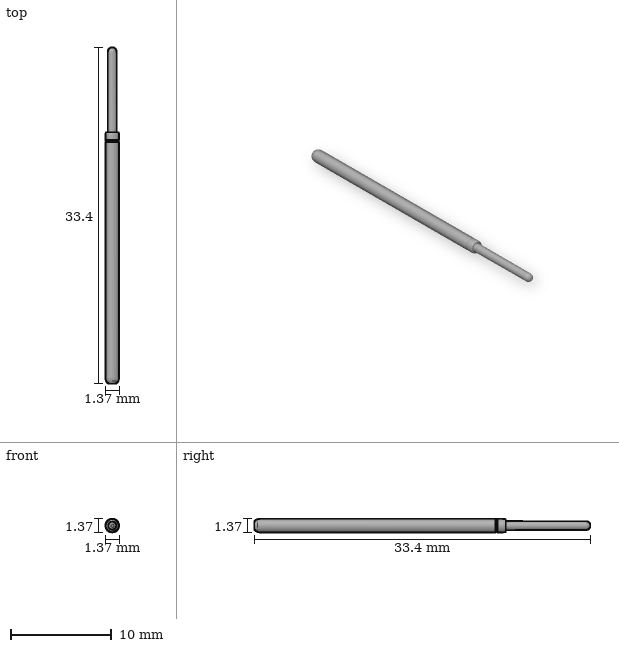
import cadquery as cq
import math

total_length = 33.4

barrel_length = 25.0
barrel_radius = 1.37 / 2
end_rounding_length = 0.56
end_recess_radius = 0.39
end_recess_depth = 0.3
mouth_rounding_length = 0.3
mouth_radius = barrel_radius - 0.05

groove_width = 0.25
groove_depth = 0.05
groove_to_mouth = 0.9

stem_rear_radius = 0.466
tip_radius = 0.45
tip_length = 2.0
nose_length = 0.45
nose_flat_radius = 0.15


def rounding_midpoint(radius, flat_radius, length, base_y, direction):
    """Middle of an arc that leaves a cylinder tangentially and ends at the end plane."""
    step = radius - flat_radius
    arc_radius = (step**2 + length**2) / (2 * step)
    half_angle = math.asin(length / arc_radius) / 2
    return (
        radius - arc_radius * (1 - math.cos(half_angle)),
        base_y + direction * arc_radius * math.sin(half_angle),
    )


def make_barrel():
    """Barrel with a rounded, recessed rear end and a gently rounded mouth."""
    mouth_start = barrel_length - mouth_rounding_length
    mouth_middle = rounding_midpoint(
        barrel_radius, mouth_radius, mouth_rounding_length, mouth_start, 1
    )
    end_middle = rounding_midpoint(
        barrel_radius, end_recess_radius, end_rounding_length, end_rounding_length, -1
    )
    profile = (
        cq.Workplane("XY")
        .moveTo(0, end_recess_depth)
        .lineTo(end_recess_radius, end_recess_depth)
        .lineTo(end_recess_radius, 0)
        .threePointArc(end_middle, (barrel_radius, end_rounding_length))
        .lineTo(barrel_radius, mouth_start)
        .threePointArc(mouth_middle, (mouth_radius, barrel_length))
        .lineTo(0, barrel_length)
        .close()
    )
    return profile.revolve(360, (0, 0, 0), (0, 1, 0))


def make_groove():
    """Ring that cuts the shallow V-groove near the barrel mouth."""
    groove_center = barrel_length - groove_to_mouth
    profile = (
        cq.Workplane("XY")
        .moveTo(barrel_radius, groove_center - groove_width / 2)
        .lineTo(barrel_radius - groove_depth, groove_center)
        .lineTo(barrel_radius, groove_center + groove_width / 2)
        .close()
    )
    return profile.revolve(360, (0, 0, 0), (0, 1, 0))


def make_plunger():
    """Stem that tapers slightly down to a cylindrical tip with a rounded nose."""
    tip_start = total_length - tip_length
    nose_start = total_length - nose_length
    nose_middle = rounding_midpoint(tip_radius, nose_flat_radius, nose_length, nose_start, 1)
    profile = (
        cq.Workplane("XY")
        .moveTo(0, barrel_length)
        .lineTo(stem_rear_radius, barrel_length)
        .lineTo(tip_radius, tip_start)
        .lineTo(tip_radius, nose_start)
        .threePointArc(nose_middle, (nose_flat_radius, total_length))
        .lineTo(0, total_length)
        .close()
    )
    return profile.revolve(360, (0, 0, 0), (0, 1, 0))


result = make_barrel().cut(make_groove()).union(make_plunger())